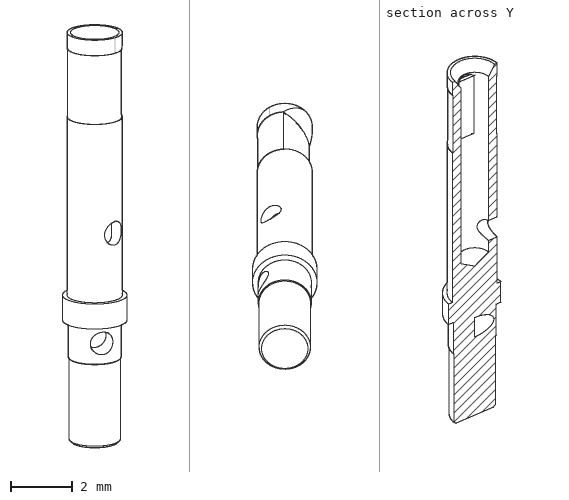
import cadquery as cq
import math

total_length = 13.84
tail_top = 2.84
flange_bottom = 4.11
flange_top = 4.95
body_top = 10.99
neck_top = 13.31

tail_diameter = 1.67
shank_diameter = 1.73
flange_diameter = 2.1
body_diameter = 1.8
neck_diameter = 1.77
tail_chamfer = 0.08
shank_chamfer = (shank_diameter - tail_diameter) / 2

bore_diameter = 1.1
funnel_diameter = 1.58
funnel_depth = 0.39
bore_floor = 6.37
drill_tip_angle = 118.0

leaf_inner_y = 0.45
leaf_crown_y = 0.6

vent_diameter = 0.79
vent_height = 7.22
vent_direction = 0.0
inspection_diameter = 0.76
inspection_height = 3.55
inspection_direction = -30.0


def cylinder(diameter, bottom, top):
    return cq.Workplane("XY").workplane(offset=bottom).circle(diameter / 2).extrude(top - bottom)


def turned_body():
    tail = cylinder(tail_diameter, 0, tail_top).faces("<Z").chamfer(tail_chamfer)
    shank = cylinder(shank_diameter, tail_top, flange_bottom).faces("<Z").chamfer(shank_chamfer)
    flange = cylinder(flange_diameter, flange_bottom, flange_top)
    body = cylinder(body_diameter, flange_top, body_top)
    neck = cylinder(neck_diameter, body_top, neck_top)
    rim = cylinder(body_diameter, neck_top, total_length)
    return tail.union(shank).union(flange).union(body).union(neck).union(rim)


def socket_bore():
    radius = bore_diameter / 2
    tip_depth = radius / math.tan(math.radians(drill_tip_angle / 2))
    return (
        cq.Workplane("XZ")
        .moveTo(0, bore_floor - tip_depth)
        .lineTo(radius, bore_floor)
        .lineTo(radius, total_length - funnel_depth)
        .lineTo(funnel_diameter / 2, total_length)
        .lineTo(0, total_length)
        .close()
        .revolve(360, (0, 0, 0), (0, 1, 0))
    )


def neck_window():
    """Wedge below the rim and open space beside the neck, on the +Y side."""
    rim_radius = body_diameter / 2
    return (
        cq.Workplane("YZ")
        .moveTo(leaf_inner_y, body_top)
        .lineTo(leaf_inner_y, neck_top)
        .lineTo(rim_radius, total_length)
        .lineTo(rim_radius, body_top)
        .close()
        .extrude(rim_radius, both=True)
    )


def spring_leaf():
    half_width = math.sqrt((neck_diameter / 2) ** 2 - leaf_inner_y**2)
    return (
        cq.Workplane("XY")
        .workplane(offset=body_top)
        .moveTo(-half_width, leaf_inner_y)
        .threePointArc((0, leaf_crown_y), (half_width, leaf_inner_y))
        .close()
        .extrude(neck_top - body_top)
    )


def radial_hole(diameter, height, direction):
    """Hole from outside the part to its axis."""
    hole = cq.Workplane("YZ").center(0, height).circle(diameter / 2).extrude(flange_diameter / 2)
    return hole.rotate((0, 0, 0), (0, 0, 1), direction)


result = (
    turned_body()
    .cut(socket_bore())
    .cut(neck_window())
    .union(spring_leaf())
    .cut(radial_hole(vent_diameter, vent_height, vent_direction))
    .cut(radial_hole(inspection_diameter, inspection_height, inspection_direction))
)